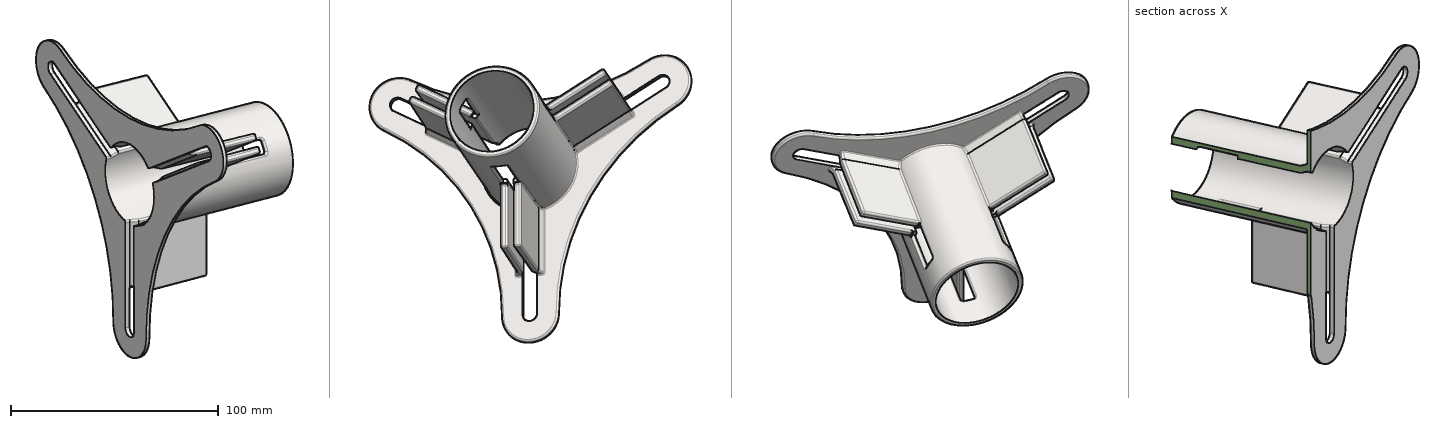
import cadquery as cq
import math

arm_count = 3
arm_reach = 75.84
tip_radius = 14.0
waist_radius = 34.2
flange_thickness = 2.5

total_depth = 80.0
bore_radius = 20.75
tube_radius = 23.25

slot_width = 7.2
slot_depth = 65.0

fin_reach = 55.8
fin_depth = 42.0
wall_gap = 3.0
wall_thickness = 3.5
draft_spread = 0.35
flare_width = 1.75
flare_height = 4.0

flange_edge_radius = 1.0
tube_rim_radius = 0.8
tube_root_radius = 0.6
slot_edge_radius = 1.0
slot_corner_radius = 1.0
fin_edge_radius = 1.0
fin_root_radius = 1.0
gap_end_radius = 1.0

margin = 1.0
tolerance = 0.01
wall_middle = (bore_radius + tube_radius) / 2
fin_half_width = wall_gap / 2 + wall_thickness


def ring_point(radius, angle_deg):
    """Point in the XZ plane at a given distance and angle about the tube axis."""
    angle = math.radians(angle_deg)
    return (radius * math.cos(angle), radius * math.sin(angle))


def along_y(y):
    """Workplane facing +Y at depth y, with local x along +X and local y along -Z."""
    return cq.Workplane(cq.Plane(origin=(0, y, 0), xDir=(1, 0, 0), normal=(0, 1, 0)))


def around_axis(shape):
    """Copies of a shape made for the downward arm, one for each arm."""
    step = 360 / arm_count
    return [shape.rotate((0, 0, 0), (0, 1, 0), i * step) for i in range(arm_count)]


def edges_on_arms(body, x_range, y_range, z_range):
    """Edges on every arm whose midpoint, turned onto the downward arm, has |x|, y and z in range."""
    picked = []
    for edge in body.edges().vals():
        turned = [c.Center() for c in around_axis(cq.Vertex.makeVertex(*edge.Center().toTuple()))]
        point = min(turned, key=lambda p: p.z)
        checks = zip((abs(point.x), point.y, point.z), (x_range, y_range, z_range))
        if all(low <= value <= high for value, (low, high) in checks):
            picked.append(edge)
    return body.newObject(picked)


def make_flange():
    """Three-armed plate: round tips joined by concave arcs tangent to them."""
    step = 360 / arm_count
    half_step = math.radians(step / 2)
    edge_radius = (arm_reach**2 + waist_radius**2 - tip_radius**2
                   - 2 * arm_reach * waist_radius * math.cos(half_step)) / (
        2 * (tip_radius + arm_reach * math.cos(half_step) - waist_radius))
    edge_centre = waist_radius + edge_radius
    tangent_share = tip_radius / (tip_radius + edge_radius)

    def tangent_point(tip_angle, edge_angle):
        tip = ring_point(arm_reach, tip_angle)
        centre = ring_point(edge_centre, edge_angle)
        return tuple(t + tangent_share * (c - t) for t, c in zip(tip, centre))

    first_angle = 90
    outline = along_y(0).moveTo(*tangent_point(first_angle, first_angle - step / 2))
    for i in range(arm_count):
        tip_angle = first_angle + i * step
        next_edge = tip_angle + step / 2
        outline = outline.threePointArc(
            ring_point(arm_reach + tip_radius, tip_angle), tangent_point(tip_angle, next_edge))
        outline = outline.threePointArc(
            ring_point(waist_radius, next_edge), tangent_point(tip_angle + step, next_edge))
    flange = outline.close().extrude(flange_thickness)
    return flange.faces(">Y").edges().fillet(flange_edge_radius)


def flared_block(half_width, inner_reach, outer_reach, start, end):
    """Block along the downward arm whose sides spread out towards the flange."""
    neck = half_width + draft_spread
    foot = neck + flare_width
    flare_end = flange_thickness + flare_height
    profile = [(-foot, start), (foot, start), (foot, flange_thickness), (neck, flare_end),
               (half_width, end), (-half_width, end), (-neck, flare_end),
               (-foot, flange_thickness)]
    return (cq.Workplane("XY", origin=(0, 0, -inner_reach))
            .polyline(profile).close().extrude(inner_reach - outer_reach))


def make_fin():
    """Two-walled fin with rounded back edges and rounded corners at its outer end."""
    fin = flared_block(fin_half_width, wall_middle, fin_reach, flange_thickness / 2, fin_depth)
    back_edges = fin.faces(">Y").edges("not >Z").vals()
    end_edges = fin.faces("<Z").edges("not (>Y or <Y)").vals()
    fin = fin.newObject(back_edges + end_edges).fillet(fin_edge_radius)
    fin = fin.cut(make_fin_gap())
    gap_end = edges_on_arms(
        fin, (0, slot_width / 2 + tolerance), (0, fin_depth - tolerance),
        (-fin_reach - tolerance, -fin_reach + tolerance))
    return gap_end.edges("not |X").fillet(gap_end_radius)


def make_fin_gap():
    """Passage between the two walls of a fin, open at its back and outer end."""
    return flared_block(wall_gap / 2, bore_radius / 2, fin_reach + margin,
                        flange_thickness / 2, fin_depth + margin)


def make_flange_slot():
    """Round-ended slot from the bore to the arm tip."""
    stem = along_y(0).center(0, arm_reach / 2).rect(slot_width, arm_reach).extrude(flange_thickness)
    end = along_y(0).center(0, arm_reach).circle(slot_width / 2).extrude(flange_thickness)
    return stem.union(end)


def make_tube_slot():
    """Slot through the tube wall behind a fin, widening at the bore and outside to round its edges."""
    reach = tube_radius + margin
    tube_wall = along_y(0).circle(tube_radius).circle(bore_radius).extrude(total_depth)
    opening = cq.Workplane("XY").box(slot_width, slot_depth, reach, centered=(True, False, False))
    opening = opening.translate((0, 0, -reach)).faces(">Y").edges("|Z").fillet(slot_corner_radius)
    slotted_wall = tube_wall.cut(opening)
    slot_region = cq.selectors.BoxSelector(
        (-slot_width, margin, -reach), (slot_width, total_depth - margin, 0))
    slotted_wall = slotted_wall.edges(slot_region).fillet(slot_edge_radius)
    beside_fin = along_y(0).rect(3 * tube_radius, 3 * tube_radius).extrude(fin_depth)
    return tube_wall.cut(slotted_wall).cut(beside_fin)


def make_solid_form():
    """Flange, tube and fins joined and rounded, before any opening is cut."""
    tube = along_y(0).circle(tube_radius).extrude(total_depth)
    tube = tube.faces(">Y").edges().fillet(tube_rim_radius)
    form = make_flange().union(tube)
    for fin in around_axis(make_fin()):
        form = form.union(fin)
    fin_root = edges_on_arms(
        form,
        (fin_half_width - fin_edge_radius / 2, fin_half_width + 2 * flare_width),
        (flange_thickness + tolerance, fin_depth - fin_edge_radius),
        (-tube_radius, -bore_radius))
    form = fin_root.fillet(fin_root_radius)
    tube_root = edges_on_arms(
        form, (2 * slot_width, tube_radius + tolerance),
        (flange_thickness - tolerance, flange_thickness + tolerance), (-tube_radius, 0))
    return tube_root.edges("%CIRCLE").fillet(tube_root_radius)


def cut_openings(body):
    """Bore, and the openings that run through flange, tube and fin on every arm."""
    body = body.cut(along_y(0).circle(bore_radius).extrude(total_depth))
    for opening in (make_fin_gap(), make_flange_slot(), make_tube_slot()):
        for copy in around_axis(opening):
            body = body.cut(copy)
    return body


def round_openings(body):
    """Round the edges where the fin gaps and flange slots meet the bore."""
    bore_edges = edges_on_arms(
        body, (tolerance, slot_width / 2 + tolerance), (tolerance, fin_depth - margin),
        (-bore_radius, -bore_radius + margin))
    return bore_edges.fillet(slot_edge_radius)


result = round_openings(cut_openings(make_solid_form()))